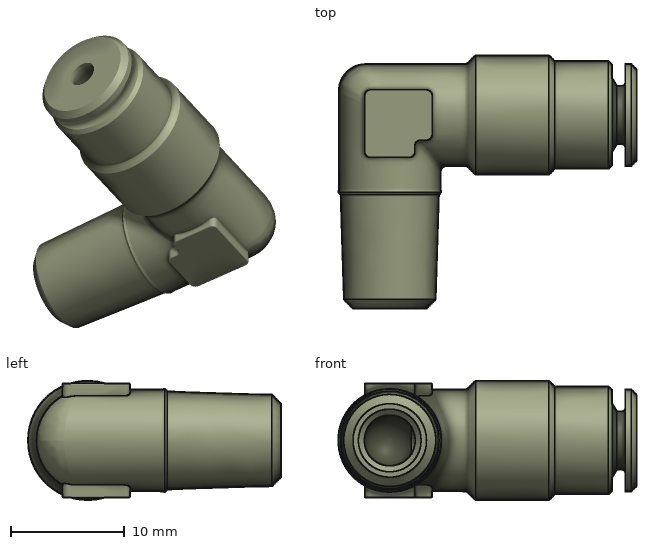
import cadquery as cq
import math

full_turn = 360

overall_length = 26.25
arm_radius = 4.5
elbow_round = 2.42
inner_elbow_round = 0.47

spigot_end = 17.0
spigot_chamfer = 0.81
spigot_root_radius = 4.33
spigot_taper = 1 / 32
spigot_root = 7.0
rim_start = 6.55
rim_peak = 6.77
rim_radius = 4.55

socket_radius = 5.25
sleeve_radius = 4.75
socket_root_x = 6.77
socket_root_round = 0.42
cone_angle = 45
socket_end_x = 14.0
sleeve_end_x = 19.53
sleeve_chamfer = 0.32

collar_end_x = overall_length - rim_radius
collar_start_x = 20.68
collar_radius = arm_radius
collar_chamfer = 0.5
neck_radius = 2.57
neck_start_x = 19.95
neck_flare_radius = 3.25
neck_round = 0.3

spigot_bore_radius = 2.23
bore_countersink = 0.52
socket_bore_radius = 1.2

pad_height = 5.01
pad_near = 2.2
pad_far = 3.73
pad_corner_round = 0.5
pad_edge_round = 0.1


def mitred_arms():
    """Two equal round arms joined on the diagonal plane of the elbow."""
    reach = 2 * arm_radius
    wedge = [(-reach, reach), (reach, reach), (reach, -reach)]
    x_side = cq.Workplane("XY").polyline(wedge).close().extrude(reach, both=True)
    x_arm = cq.Workplane("YZ", origin=(-reach, 0, 0)).circle(arm_radius).extrude(reach + socket_root_x)
    y_arm = cq.Workplane("XZ", origin=(0, reach, 0)).circle(arm_radius).extrude(reach + rim_start)
    return x_arm.intersect(x_side).union(y_arm.cut(x_side))


def pad_block():
    """L-shaped block through the elbow whose ends form the two pads."""
    outline = [
        (-pad_near, pad_near),
        (pad_far, pad_near),
        (pad_far, -pad_near),
        (pad_near, -pad_near),
        (pad_near, -pad_far),
        (-pad_near, -pad_far),
    ]
    block = cq.Workplane("XY").polyline(outline).close().extrude(pad_height, both=True)
    block = block.edges("|Z").fillet(pad_corner_round)
    return block.faces("|Z").edges().fillet(pad_edge_round)


def elbow():
    """Mitred arms and pads, with the mitre seam rounded between the pads."""
    body = mitred_arms().union(pad_block())
    body = body.edges("%ELLIPSE").edges("<X").fillet(elbow_round)
    return body.edges("%ELLIPSE").edges(">X").fillet(inner_elbow_round)


def socket_arm():
    """Revolved socket, sleeve and release collar."""
    root_step = socket_radius - arm_radius
    sleeve_step = socket_radius - sleeve_radius
    tangent = socket_root_round * math.tan(math.radians(cone_angle / 2))
    tangent_run = tangent * math.cos(math.radians(cone_angle))
    profile = (
        cq.Workplane("XY")
        .moveTo(arm_radius, 0)
        .lineTo(arm_radius, arm_radius)
        .lineTo(socket_root_x - tangent, arm_radius)
        .tangentArcPoint((socket_root_x + tangent_run, arm_radius + tangent_run), relative=False)
        .lineTo(socket_root_x + root_step, socket_radius)
        .lineTo(socket_end_x, socket_radius)
        .lineTo(socket_end_x + sleeve_step, sleeve_radius)
        .lineTo(sleeve_end_x - sleeve_chamfer, sleeve_radius)
        .lineTo(sleeve_end_x, sleeve_radius - sleeve_chamfer)
        .lineTo(sleeve_end_x, neck_flare_radius)
        .lineTo(neck_start_x, neck_radius)
        .lineTo(collar_start_x - neck_round, neck_radius)
        .tangentArcPoint((collar_start_x, neck_radius + neck_round), relative=False)
        .lineTo(collar_start_x, collar_radius)
        .lineTo(collar_end_x - collar_chamfer, collar_radius)
        .lineTo(collar_end_x, collar_radius - collar_chamfer)
        .lineTo(collar_end_x, 0)
        .close()
    )
    return profile.revolve(full_turn, (0, 0, 0), (1, 0, 0))


def spigot():
    """Revolved tapered spigot with a small rim at its root."""
    taper_end = spigot_end - spigot_chamfer
    tip_radius = spigot_root_radius - (taper_end - spigot_root) * spigot_taper
    outline = [
        (0, -arm_radius),
        (arm_radius, -arm_radius),
        (arm_radius, -rim_start),
        (rim_radius, -rim_peak),
        (spigot_root_radius, -spigot_root),
        (tip_radius, -taper_end),
        (tip_radius - spigot_chamfer, -spigot_end),
        (0, -spigot_end),
    ]
    return cq.Workplane("XY").polyline(outline).close().revolve(full_turn, (0, 0, 0), (0, 1, 0))


def bores():
    """Round-ended spigot bore with a countersunk mouth, met by the socket bore."""
    mouth_radius = spigot_bore_radius + bore_countersink
    profile = (
        cq.Workplane("XY")
        .moveTo(0, spigot_bore_radius)
        .radiusArc((spigot_bore_radius, 0), spigot_bore_radius)
        .lineTo(spigot_bore_radius, bore_countersink - spigot_end)
        .lineTo(mouth_radius, -spigot_end)
        .lineTo(0, -spigot_end)
        .close()
    )
    spigot_bore = profile.revolve(full_turn, (0, 0, 0), (0, 1, 0))
    socket_bore = cq.Workplane("YZ").circle(socket_bore_radius).extrude(collar_end_x)
    return spigot_bore.union(socket_bore)


result = elbow().union(socket_arm()).union(spigot()).cut(bores())